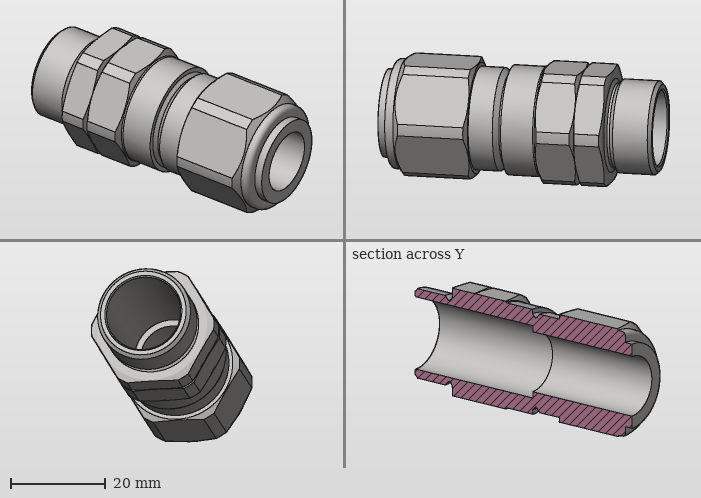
import cadquery as cq
import math


total_length = 59.15
across_flats = 24.0
hex_radius = 13.2
hex_face_radius = 11.85

thread_radius = 10.0
thread_chamfer = 0.75
thread_end = 8.3
relief_radius = 9.05
relief_start = 9.15
relief_end = 9.7

lock_hex_start = 10.2
waist = 16.3
waist_radius = 11.95
face_chamfer = 0.4
waist_chamfer = 0.65
body_hex_end = 24.85
body_hex_chamfer = 0.7

barrel_radius = 11.7
barrel_start = 25.2
barrel_end = 32.1
groove_bottom = 32.9
groove_radius = 9.95
groove_shoulder_radius = 10.7
neck_start = 34.05
neck_radius = 11.0

nut_start = 39.3
nut_start_chamfer = 0.7
nut_rear_chamfer_start = 54.1
collar_start = 55.4
collar_end = 57.4
collar_rounding = 1.0

tail_radius = 9.4
through_radius = 6.6
entry_bore_radius = 8.0
entry_bore_chamfer = 0.3
entry_bore_depth = barrel_end


def turned_body():
    """Solid of revolution about X; each point is (position along X, radius)."""
    rounding_45 = collar_rounding * math.sqrt(0.5)
    rounding_center_x = collar_end - collar_rounding
    rounding_center_r = barrel_radius - collar_rounding
    front_outline = [
        (0, 0),
        (0, thread_radius - thread_chamfer),
        (thread_chamfer, thread_radius),
        (thread_end, thread_radius),
        (relief_start, relief_radius),
        (relief_end, relief_radius),
        (lock_hex_start, thread_radius),
        (lock_hex_start, hex_face_radius),
        (lock_hex_start + face_chamfer, hex_radius),
        (waist - face_chamfer, hex_radius),
        (waist, waist_radius),
        (waist + waist_chamfer, hex_radius),
        (body_hex_end - body_hex_chamfer, hex_radius),
        (body_hex_end, hex_face_radius),
        (barrel_start, barrel_radius),
        (barrel_end, barrel_radius),
        (barrel_end, groove_shoulder_radius),
        (groove_bottom, groove_radius),
        (neck_start, neck_radius),
        (nut_start, neck_radius),
        (nut_start, hex_face_radius),
        (nut_start + nut_start_chamfer, hex_radius),
        (nut_rear_chamfer_start, hex_radius),
        (collar_start, barrel_radius),
        (rounding_center_x, barrel_radius),
    ]
    return (
        cq.Workplane("XY")
        .polyline(front_outline)
        .threePointArc(
            (rounding_center_x + rounding_45, rounding_center_r + rounding_45),
            (collar_end, rounding_center_r),
        )
        .lineTo(collar_end, tail_radius)
        .lineTo(total_length, tail_radius)
        .lineTo(total_length, 0)
        .close()
        .revolve(360, (0, 0, 0), (1, 0, 0))
    )


def hexagon_bar():
    """Hexagonal bar along X with flats facing +Z and -Z; only the hexagons reach it."""
    across_corners = across_flats / math.cos(math.pi / 6)
    return cq.Workplane("YZ").polygon(6, across_corners).extrude(total_length)


def bores():
    """Through hole with a wider, chamfered bore at the entry end."""
    outline = [
        (0, 0),
        (0, entry_bore_radius + entry_bore_chamfer),
        (entry_bore_chamfer, entry_bore_radius),
        (entry_bore_depth, entry_bore_radius),
        (entry_bore_depth, through_radius),
        (total_length, through_radius),
        (total_length, 0),
    ]
    return cq.Workplane("XY").polyline(outline).close().revolve(360, (0, 0, 0), (1, 0, 0))


result = turned_body().intersect(hexagon_bar()).cut(bores())